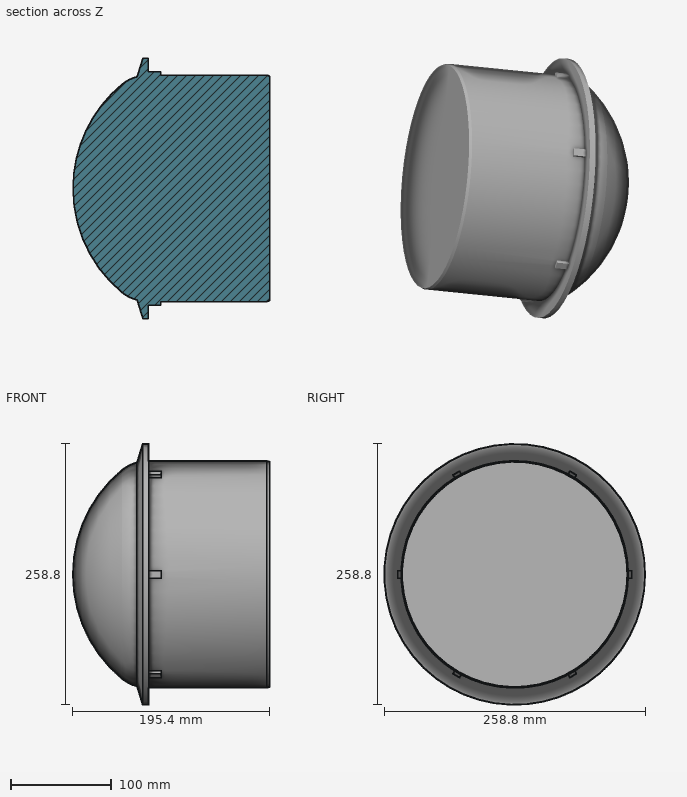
import cadquery as cq
import math

dome_end = 49.0
knuckle_end = 63.7
rim_front = 69.3
rim_back = 75.3
overall_length = 195.4

dome_end_radius = 103.5
knuckle_end_radius = 111.0
body_radius = 225 / 2
rim_radius = 258.8 / 2

end_chamfer_length = 2.8
end_chamfer_depth = 1.0

lug_count = 6
lug_length = 12.2
lug_width = 7.5
lug_outer_radius = 116.0
lug_embed = 7.8

sphere_radius = (dome_end**2 + dome_end_radius**2) / (2 * dome_end)
half_dome_angle = math.asin(dome_end_radius / sphere_radius) / 2
dome_middle = (
    sphere_radius * (1 - math.cos(half_dome_angle)),
    sphere_radius * math.sin(half_dome_angle),
)


def make_revolved_body():
    """Dome, tangent knuckle, conical-faced flange and cylinder, turned about X."""
    profile = (
        cq.Workplane("XY")
        .threePointArc(dome_middle, (dome_end, dome_end_radius))
        .tangentArcPoint((knuckle_end, knuckle_end_radius), relative=False)
        .lineTo(rim_front, rim_radius)
        .lineTo(rim_back, rim_radius)
        .lineTo(rim_back, body_radius)
        .lineTo(overall_length - end_chamfer_length, body_radius)
        .lineTo(overall_length, body_radius - end_chamfer_depth)
        .lineTo(overall_length, 0)
        .close()
    )
    return profile.revolve(360, (0, 0, 0), (1, 0, 0))


def make_lug(angle):
    """Rectangular lug on the back of the flange, turned about X from +Y."""
    start = rim_front
    length = rim_back + lug_length - start
    height = lug_outer_radius - body_radius + lug_embed
    lug = cq.Workplane("XY").box(length, height, lug_width)
    lug = lug.translate((start + length / 2, lug_outer_radius - height / 2, 0))
    return lug.rotate((0, 0, 0), (1, 0, 0), angle)


result = make_revolved_body()
for index in range(lug_count):
    result = result.union(make_lug(index * 360 / lug_count))